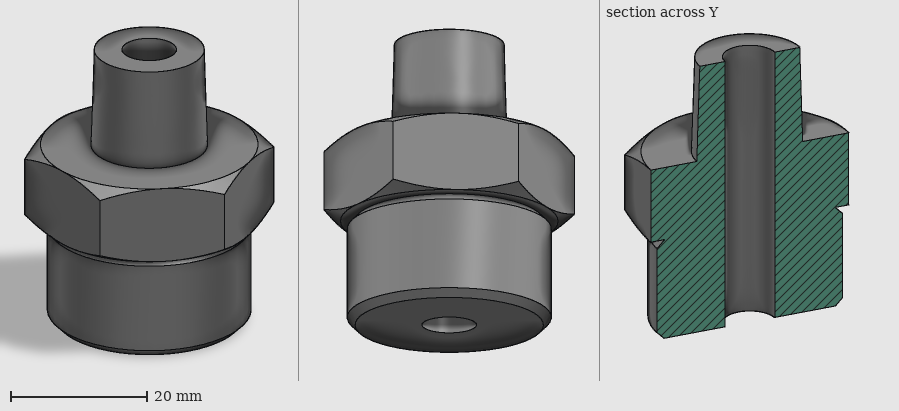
import cadquery as cq
import math

total_height = 43.0
thread_height = 15.95
hex_height = 11.75
spigot_height = total_height - thread_height - hex_height

thread_diameter = 30.0
thread_chamfer = 1.15

across_flats = 32.0
across_corners = across_flats / math.cos(math.radians(30))
corner_chamfer_angle = 30.0

spigot_top_diameter = 16.2
taper_ratio = 1 / 16
spigot_base_diameter = spigot_top_diameter + spigot_height * taper_ratio
bore_diameter = 8.0


def make_thread_end():
    """Cylinder below the collar, chamfered at both ends."""
    cylinder = cq.Workplane("XY").circle(thread_diameter / 2).extrude(thread_height)
    return cylinder.edges("%CIRCLE").chamfer(thread_chamfer)


def make_hex_collar():
    """Hexagon whose corners are turned down conically at both faces."""
    hexagon = (
        cq.Workplane("XY", origin=(0, 0, thread_height))
        .transformed(rotate=(0, 0, 30))
        .polygon(6, across_corners)
        .extrude(hex_height)
    )
    face_radius = across_flats / 2
    corner_radius = across_corners / 2
    chamfer_drop = (corner_radius - face_radius) * math.tan(math.radians(corner_chamfer_angle))
    collar_top = thread_height + hex_height
    turned_envelope = (
        cq.Workplane("XZ")
        .moveTo(0, thread_height)
        .lineTo(face_radius, thread_height)
        .lineTo(corner_radius, thread_height + chamfer_drop)
        .lineTo(corner_radius, collar_top - chamfer_drop)
        .lineTo(face_radius, collar_top)
        .lineTo(0, collar_top)
        .close()
        .revolve(360, (0, 0, 0), (0, 1, 0))
    )
    return hexagon.intersect(turned_envelope)


def make_spigot():
    """Conical spigot that narrows towards its free end."""
    return (
        cq.Workplane("XY", origin=(0, 0, thread_height + hex_height))
        .circle(spigot_base_diameter / 2)
        .workplane(offset=spigot_height)
        .circle(spigot_top_diameter / 2)
        .loft(ruled=True)
    )


bore = cq.Workplane("XY").circle(bore_diameter / 2).extrude(total_height)

result = make_thread_end().union(make_hex_collar()).union(make_spigot()).cut(bore)